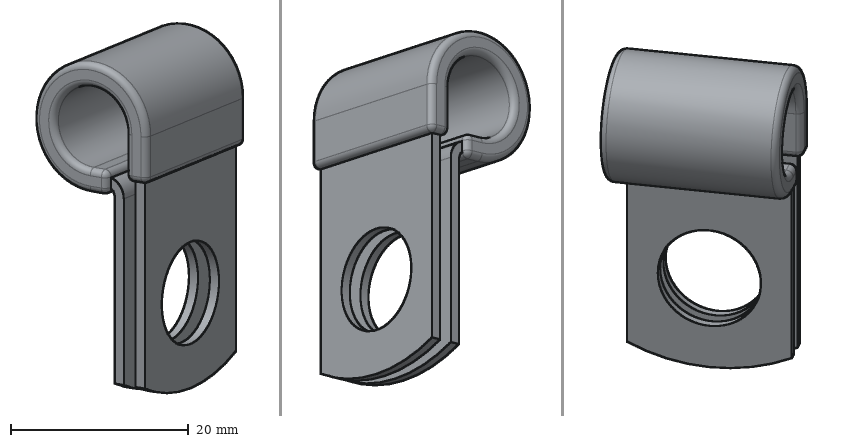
import cadquery as cq
import math


DIAGONAL = math.sqrt(0.5)

loop_bore_radius = 4.7625
strap_thickness = 1.2192
strap_width = 19.05
cushion_wall = 0.79375
cushion_right_length = 5.556
cushion_lower_length = 2.286
leg_gap = 1.5875
bend_inner_radius = 1.08
overall_height = 39.29
tip_radius = 22.1
hole_diameter = 11.906
hole_drop = 20.6
fillet_radius = cushion_wall

cushion_width = strap_width + 2 * cushion_wall
strap_inner_radius = loop_bore_radius + cushion_wall
strap_outer_radius = strap_inner_radius + strap_thickness
cushion_outer_radius = strap_outer_radius + cushion_wall
bend_outer_radius = bend_inner_radius + strap_thickness
left_leg_inner_x = strap_inner_radius - leg_gap
left_leg_outer_x = left_leg_inner_x - strap_thickness
bend_center_x = left_leg_inner_x - bend_outer_radius
bend_center_z = -strap_inner_radius - bend_outer_radius
leg_bottom_z = cushion_outer_radius - overall_height


def extrude_across(profile, width):
    """Extrude an XZ profile symmetrically about the Y = 0 plane."""
    return profile.extrude(width / 2, both=True)


def bend_point(radius):
    """Midpoint of the quarter bend between the loop and the left leg."""
    offset = radius * DIAGONAL
    return bend_center_x + offset, bend_center_z + offset


def make_cushion():
    """Three-quarter ring with two straight ends and every outer edge rounded."""
    inner = loop_bore_radius
    outer = cushion_outer_radius
    profile = (
        cq.Workplane("XZ")
        .moveTo(outer, -cushion_right_length)
        .lineTo(outer, 0)
        .threePointArc((-outer * DIAGONAL, outer * DIAGONAL), (0, -outer))
        .lineTo(cushion_lower_length, -outer)
        .lineTo(cushion_lower_length, -inner)
        .lineTo(0, -inner)
        .threePointArc((-inner * DIAGONAL, inner * DIAGONAL), (inner, 0))
        .lineTo(inner, -cushion_right_length)
        .close()
    )
    body = extrude_across(profile, cushion_width)
    wall_middle = (inner + outer) / 2
    right_end = body.faces(
        cq.selectors.NearestToPointSelector((wall_middle, 0, -cushion_right_length))
    )
    lower_end = body.faces(
        cq.selectors.NearestToPointSelector((cushion_lower_length, 0, -wall_middle))
    )
    rounded_edges = body.faces("<Y or >Y").edges()
    rounded_edges = rounded_edges.add(right_end.edges("|Y"))
    rounded_edges = rounded_edges.add(lower_end.edges("|Y"))
    return rounded_edges.fillet(fillet_radius)


def make_strap():
    """Constant-thickness strap: right leg, loop, quarter bend and left leg."""
    inner = strap_inner_radius
    outer = strap_outer_radius
    profile = (
        cq.Workplane("XZ")
        .moveTo(outer, leg_bottom_z)
        .lineTo(outer, 0)
        .threePointArc((-outer * DIAGONAL, outer * DIAGONAL), (0, -outer))
        .lineTo(bend_center_x, -outer)
        .threePointArc(bend_point(bend_inner_radius), (left_leg_outer_x, bend_center_z))
        .lineTo(left_leg_outer_x, leg_bottom_z)
        .lineTo(left_leg_inner_x, leg_bottom_z)
        .lineTo(left_leg_inner_x, bend_center_z)
        .threePointArc(bend_point(bend_outer_radius), (bend_center_x, -inner))
        .lineTo(0, -inner)
        .threePointArc((-inner * DIAGONAL, inner * DIAGONAL), (inner, 0))
        .lineTo(inner, leg_bottom_z)
        .close()
    )
    return extrude_across(profile, strap_width)


def make_leg_outline():
    """Plate along X, with a curved lower tip, that trims the legs to shape."""
    half_width = strap_width / 2
    tip_rise = tip_radius - math.sqrt(tip_radius**2 - half_width**2)
    tip_corner_z = leg_bottom_z + tip_rise
    return (
        cq.Workplane("YZ")
        .moveTo(-half_width, cushion_outer_radius)
        .lineTo(-half_width, tip_corner_z)
        .threePointArc((0, leg_bottom_z), (half_width, tip_corner_z))
        .lineTo(half_width, cushion_outer_radius)
        .close()
        .extrude(cushion_outer_radius, both=True)
    )


def make_bolt_hole():
    """Cylinder along X that passes through both legs."""
    return (
        cq.Workplane("YZ")
        .center(0, -hole_drop)
        .circle(hole_diameter / 2)
        .extrude(cushion_outer_radius)
    )


strap = make_strap().intersect(make_leg_outline()).cut(make_bolt_hole())
result = make_cushion().union(strap)